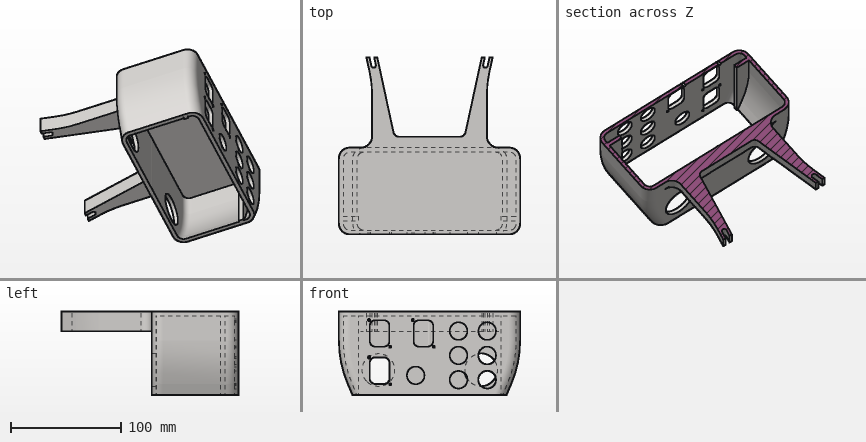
import cadquery as cq
import math

BODY_WIDTH = 165.0
BODY_DEPTH = 79.0
BODY_HEIGHT = 76.0
CORNER_RADIUS = 10.0
WALL = 4.0
HALF_WIDTH = BODY_WIDTH / 2

SIDE_STRAIGHT_HEIGHT = 26.4
SIDE_ARC_RADIUS = 100.0
SIDE_TAPER_ANGLE = math.radians(23.2)

PLATE_THICKNESS = 18.0
TOTAL_DEPTH = 161.0
BRIDGE_END_Y = 89.0
ARM_HALF_SPAN = 52.3
ARM_BEND_RADIUS = 100.0
ARM_BEND_START_Y = 126.5
ARM_LEAN_ANGLE = math.radians(12.2)
ARM_TIP_WIDTH = 10.0
BRIDGE_CORNER_RADIUS = 5.0
SLOT_WIDTH = 4.0
SLOT_DEPTH = 9.5

WINDOW_WIDTH = 17.8
WINDOW_HEIGHT = 24.0
WINDOW_CORNER_RADIUS = 5.0
WINDOW_CENTERS = [(-45.4, -20.0), (-5.6, -20.0), (-45.4, -53.8)]
SCREW_DIAMETER = 2.0
SCREW_OFFSET_X = 9.5
SCREW_OFFSET_Z = 12.2
BUTTON_DIAMETER = 16.0
BUTTON_GRID_X = 26.4
BUTTON_GRID_Z = -17.8
BUTTON_PITCH_X = 26.0
BUTTON_PITCH_Z = 22.1
BUTTON_COLUMNS = 2
BUTTON_ROWS = 3
SINGLE_BUTTON_CENTER = (-12.5, -58.0)

BACK_HOLE_DIAMETER = 29.7
BACK_HOLE_X = 46.7
BACK_HOLE_Z = -53.0

RIB_RADIUS = 5.0
RIB_WIDTH = 3.1

FLANGE_FRONT_Y = 12.4
FLANGE_THICKNESS = 4.1
FLANGE_EDGE_X = 64.8


def housing_block(inset, corner_radius):
    """Tapered block with rounded corners, its sides, front, back and top shifted in by `inset`."""
    half_width = HALF_WIDTH - inset
    mid_angle = SIDE_TAPER_ANGLE / 2
    arc_center_x = half_width - SIDE_ARC_RADIUS

    def arc_point(side, angle):
        x = arc_center_x + SIDE_ARC_RADIUS * math.cos(angle)
        return (side * x, -SIDE_STRAIGHT_HEIGHT - SIDE_ARC_RADIUS * math.sin(angle))

    arc_end_x, arc_end_z = arc_point(1, SIDE_TAPER_ANGLE)
    bottom_x = arc_end_x - (arc_end_z + BODY_HEIGHT) * math.tan(SIDE_TAPER_ANGLE)
    block = (
        cq.Workplane("XZ", origin=(0, inset, 0))
        .moveTo(-half_width, -inset)
        .lineTo(half_width, -inset)
        .lineTo(half_width, -SIDE_STRAIGHT_HEIGHT)
        .threePointArc(arc_point(1, mid_angle), arc_point(1, SIDE_TAPER_ANGLE))
        .lineTo(bottom_x, -BODY_HEIGHT)
        .lineTo(-bottom_x, -BODY_HEIGHT)
        .lineTo(*arc_point(-1, SIDE_TAPER_ANGLE))
        .threePointArc(arc_point(-1, mid_angle), (-half_width, -SIDE_STRAIGHT_HEIGHT))
        .close()
        .extrude(-(BODY_DEPTH - 2 * inset))
    )
    side_edges = block.faces("<Y or >Y").edges("not(|X)")
    return block.newObject(side_edges.vals()).fillet(corner_radius)


def arm_plate():
    """Plate level with the top face: the bridge behind the body and the two slotted arms."""
    bend_rise = ARM_BEND_RADIUS * math.sin(ARM_LEAN_ANGLE)
    bend_center_x = ARM_HALF_SPAN + ARM_BEND_RADIUS

    def bend_point(side, angle):
        x = bend_center_x - ARM_BEND_RADIUS * math.cos(angle)
        return (side * x, ARM_BEND_START_Y + ARM_BEND_RADIUS * math.sin(angle))

    lean = math.tan(ARM_LEAN_ANGLE)
    bend_end_x = bend_point(1, ARM_LEAN_ANGLE)[0]
    tip_outer_x = bend_end_x + (TOTAL_DEPTH - ARM_BEND_START_Y - bend_rise) * lean
    tip_inner_x = tip_outer_x - ARM_TIP_WIDTH
    root_inner_x = tip_inner_x - (TOTAL_DEPTH - BRIDGE_END_Y) * lean
    start_y = BODY_DEPTH - WALL

    plate = (
        cq.Workplane("XY")
        .moveTo(-ARM_HALF_SPAN, start_y)
        .lineTo(ARM_HALF_SPAN, start_y)
        .lineTo(ARM_HALF_SPAN, ARM_BEND_START_Y)
        .threePointArc(bend_point(1, ARM_LEAN_ANGLE / 2), bend_point(1, ARM_LEAN_ANGLE))
        .lineTo(tip_outer_x, TOTAL_DEPTH)
        .lineTo(tip_inner_x, TOTAL_DEPTH)
        .lineTo(root_inner_x, BRIDGE_END_Y)
        .lineTo(-root_inner_x, BRIDGE_END_Y)
        .lineTo(-tip_inner_x, TOTAL_DEPTH)
        .lineTo(-tip_outer_x, TOTAL_DEPTH)
        .lineTo(*bend_point(-1, ARM_LEAN_ANGLE))
        .threePointArc(bend_point(-1, ARM_LEAN_ANGLE / 2), (-ARM_HALF_SPAN, ARM_BEND_START_Y))
        .close()
        .extrude(-PLATE_THICKNESS)
    )
    for side in (-1, 1):
        corner = cq.NearestToPointSelector((side * root_inner_x, BRIDGE_END_Y, -PLATE_THICKNESS / 2))
        plate = plate.edges(corner).fillet(BRIDGE_CORNER_RADIUS)

    slot_x = (tip_outer_x + tip_inner_x) / 2
    for side in (-1, 1):
        slot = (
            cq.Workplane("XY")
            .slot2D(2 * SLOT_DEPTH, SLOT_WIDTH, 90)
            .extrude(-PLATE_THICKNESS)
            .rotate((0, 0, 0), (0, 0, 1), -side * math.degrees(ARM_LEAN_ANGLE))
            .translate((side * slot_x, TOTAL_DEPTH, 0))
        )
        plate = plate.cut(slot)
    return plate


def arm_root_fillets():
    """Concave fillets between the back face of the body and the outer faces of the arms."""
    fillets = cq.Workplane("XY")
    size = CORNER_RADIUS
    for side in (-1, 1):
        center = (side * (ARM_HALF_SPAN + size), BODY_DEPTH + size)
        square = (
            cq.Workplane("XY")
            .center(center[0] - side * size / 2, center[1] - size / 2)
            .rect(size, size)
            .extrude(-PLATE_THICKNESS)
        )
        round_cut = cq.Workplane("XY").center(*center).circle(size).extrude(-PLATE_THICKNESS)
        fillets = fillets.add(square.cut(round_cut))
    return fillets.combine()


def front_points(centers):
    """Workplane on the front face with one point per opening."""
    return cq.Workplane("XZ").pushPoints(centers)


def front_openings():
    """Windows with their screw holes, the button grid and the single button."""
    windows = (
        front_points(WINDOW_CENTERS)
        .rect(WINDOW_WIDTH, WINDOW_HEIGHT)
        .extrude(-WALL)
        .edges("|Y")
        .fillet(WINDOW_CORNER_RADIUS)
    )
    screws = []
    for x, z in WINDOW_CENTERS:
        screws.append((x - SCREW_OFFSET_X, z + SCREW_OFFSET_Z))
        screws.append((x + SCREW_OFFSET_X, z - SCREW_OFFSET_Z))
    buttons = [SINGLE_BUTTON_CENTER]
    for column in range(BUTTON_COLUMNS):
        for row in range(BUTTON_ROWS):
            x = BUTTON_GRID_X + column * BUTTON_PITCH_X
            z = BUTTON_GRID_Z - row * BUTTON_PITCH_Z
            buttons.append((x, z))
    screw_holes = front_points(screws).circle(SCREW_DIAMETER / 2).extrude(-WALL)
    button_holes = front_points(buttons).circle(BUTTON_DIAMETER / 2).extrude(-WALL)
    return windows.add(screw_holes).add(button_holes).combine()


def back_openings():
    """Two round openings through the back wall."""
    centers = [(-BACK_HOLE_X, BACK_HOLE_Z), (BACK_HOLE_X, BACK_HOLE_Z)]
    plane = cq.Workplane("XZ", origin=(0, BODY_DEPTH - WALL, 0))
    return plane.pushPoints(centers).circle(BACK_HOLE_DIAMETER / 2).extrude(-WALL)


def back_rib():
    """Slice of an upright cylinder standing slightly proud of the inner back face."""
    wall_y = BODY_DEPTH - WALL
    center_y = wall_y + math.sqrt(RIB_RADIUS**2 - (RIB_WIDTH / 2) ** 2)
    nose = (0, center_y - RIB_RADIUS)
    half = RIB_WIDTH / 2
    return (
        cq.Workplane("XY")
        .moveTo(-half, wall_y + WALL / 2)
        .lineTo(-half, wall_y)
        .threePointArc(nose, (half, wall_y))
        .lineTo(half, wall_y + WALL / 2)
        .close()
        .extrude(-BODY_HEIGHT)
    )


def side_flanges(body_block):
    """Upright flanges that reach inward from the side walls."""
    length = HALF_WIDTH - FLANGE_EDGE_X
    middle_x = HALF_WIDTH - length / 2
    middle_y = FLANGE_FRONT_Y + FLANGE_THICKNESS / 2
    blanks = (
        cq.Workplane("XY")
        .pushPoints([(-middle_x, middle_y), (middle_x, middle_y)])
        .rect(length, FLANGE_THICKNESS)
        .extrude(-BODY_HEIGHT)
    )
    return blanks.intersect(body_block)


body = housing_block(0, CORNER_RADIUS)
cavity = housing_block(WALL, CORNER_RADIUS - WALL)
result = (
    body.cut(cavity)
    .union(arm_plate())
    .union(arm_root_fillets())
    .union(back_rib())
    .union(side_flanges(body))
    .cut(front_openings())
    .cut(back_openings())
)